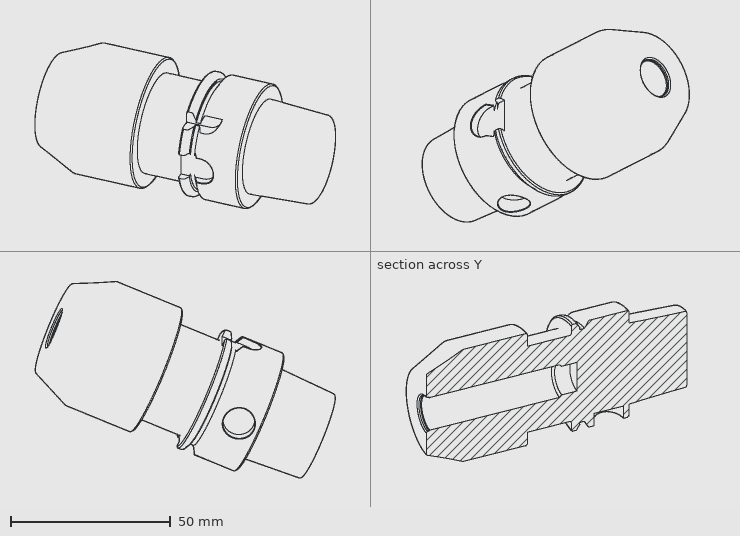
import cadquery as cq
import math


total_length = 90.0
nose_radius = 15.1
nose_fillet = 0.7
body_radius = 21.0
cone_length = 12.75
cone_fillet = 0.6
body_end = 35.0
edge_chamfer = 0.5

neck_radius = 32.3 / 2
neck_fillet = 0.5

flange_start = 50.0
flange_end = 70.0
flange_radius = 20.0
groove_front = 51.95
groove_rear = 56.1
groove_floor_front = 53.05
groove_floor_radius = 17.4
groove_flank_angle = 30.0
groove_front_fillet = 0.7
groove_rear_fillet = 0.35
groove_floor_fillet = 0.2

shank_start_radius = 15.25
shank_taper = 1 / 20
shank_fillet = 0.8

bore_radius = 6.0
relief_radius = 12.5 / 2
mouth_radius = 6.7
relief_depth = 1.0
bore_depth = 46.0
stop_radius = 10.5 / 2
stop_depth = 52.0

slot_length = 12.0
front_slot_width = 9.0
rear_slot_width = 11.0
slot_floor = 17.0
rim_chamfer = 0.2
notch_wall = 12.0
notch_end_radius = 4.5
carrier_radius = 5.0
carrier_x = 63.0
carrier_depth = 4.6


def revolve_profile(profile):
    """Turn a closed X-radius profile about the X axis."""
    return profile.close().revolve(360, (0, 0, 0), (1, 0, 0))


def round_ring(solid, x, radius, fillet):
    """Fillet the full circular edge at the given station and radius."""
    margin = 0.01
    box = cq.selectors.BoxSelector(
        (x - margin, -radius - margin, -radius - margin),
        (x + margin, radius + margin, radius + margin),
        boundingbox=True,
    )
    edges = solid.edges(box).edges(cq.selectors.RadiusNthSelector(-1))
    return edges.fillet(fillet)


def make_body():
    """Turned outer form of the holder."""
    flank_slope = 1 / math.tan(math.radians(groove_flank_angle))
    front_wall_radius = flange_radius - (groove_floor_front - groove_front) * flank_slope
    groove_floor_rear = groove_rear - (flange_radius - groove_floor_radius) / flank_slope
    shank_end_radius = shank_start_radius - (total_length - flange_end) * shank_taper
    profile = (
        cq.Workplane("XY")
        .lineTo(0, nose_radius)
        .lineTo(cone_length, body_radius)
        .lineTo(body_end - edge_chamfer, body_radius)
        .lineTo(body_end, body_radius - edge_chamfer)
        .lineTo(body_end, neck_radius)
        .lineTo(flange_start, neck_radius)
        .lineTo(flange_start, flange_radius - edge_chamfer)
        .lineTo(flange_start + edge_chamfer, flange_radius)
        .lineTo(groove_front, flange_radius)
        .lineTo(groove_floor_front, front_wall_radius)
        .lineTo(groove_floor_front, groove_floor_radius)
        .lineTo(groove_floor_rear, groove_floor_radius)
        .lineTo(groove_rear, flange_radius)
        .lineTo(flange_end - edge_chamfer, flange_radius)
        .lineTo(flange_end, flange_radius - edge_chamfer)
        .lineTo(flange_end, shank_start_radius)
        .lineTo(total_length, shank_end_radius)
        .lineTo(total_length, 0)
    )
    body = revolve_profile(profile)
    body = round_ring(body, 0, nose_radius, nose_fillet)
    body = round_ring(body, cone_length, body_radius, cone_fillet)
    body = round_ring(body, flange_start, neck_radius, neck_fillet)
    body = round_ring(body, groove_front, flange_radius, groove_front_fillet)
    body = round_ring(body, groove_rear, flange_radius, groove_rear_fillet)
    body = round_ring(body, groove_floor_front, groove_floor_radius, groove_floor_fillet)
    return round_ring(body, total_length, shank_end_radius, shank_fillet)


def make_bore():
    """Stepped blind shank bore from the nose, with 45 degree transitions."""
    mouth_depth = mouth_radius - relief_radius
    relief_step = relief_radius - bore_radius
    stop_step = bore_radius - stop_radius
    profile = (
        cq.Workplane("XY")
        .lineTo(0, mouth_radius)
        .lineTo(mouth_depth, relief_radius)
        .lineTo(relief_depth, relief_radius)
        .lineTo(relief_depth + relief_step, bore_radius)
        .lineTo(bore_depth, bore_radius)
        .lineTo(bore_depth + stop_step, stop_radius)
        .lineTo(stop_depth, stop_radius)
        .lineTo(stop_depth, 0)
    )
    return revolve_profile(profile)


def cut_slot(body, side, width):
    """Cut a round-ended drive slot on the -Y (side = -1) or +Y (side = 1) flank.

    Its rim behind the V-groove is chamfered.
    """
    half_width = width / 2
    arc_start = flange_start + slot_length - half_width
    cutter = (
        cq.Workplane("XZ", origin=(0, side * slot_floor, 0))
        .moveTo(flange_start, -half_width)
        .lineTo(arc_start, -half_width)
        .threePointArc((flange_start + slot_length, 0), (arc_start, half_width))
        .lineTo(flange_start, half_width)
        .close()
        .extrude(-side * flange_radius)
    )
    slotted = body.cut(cutter)
    rim_box = cq.selectors.BoxSelector(
        (groove_rear + rim_chamfer, side * (slot_floor + rim_chamfer), -width),
        (flange_start + slot_length + rim_chamfer, side * (flange_radius + rim_chamfer), width),
    )
    rim = slotted.edges(rim_box).edges("not |Y")
    return rim.chamfer(rim_chamfer)


def make_notch():
    """Corner notch at 45 degrees whose floor runs out along an arc."""
    reach = flange_radius
    run_out_start = flange_start + slot_length - notch_end_radius
    return (
        cq.Workplane("XZ", origin=(0, -notch_wall, 0))
        .moveTo(flange_start, notch_wall)
        .lineTo(run_out_start, notch_wall)
        .radiusArc((run_out_start + notch_end_radius, notch_wall + notch_end_radius), -notch_end_radius)
        .lineTo(run_out_start + notch_end_radius, reach)
        .lineTo(flange_start, reach)
        .close()
        .extrude(reach)
    )


def cut_carrier_hole(body):
    """Cut the blind data carrier hole on the -Z flank and chamfer its rim."""
    drill = (
        cq.Workplane("XY", origin=(carrier_x, 0, -flange_radius))
        .circle(carrier_radius)
        .extrude(carrier_depth)
    )
    drilled = body.cut(drill)
    rim_box = cq.selectors.BoxSelector(
        (carrier_x - carrier_radius, -carrier_radius, -flange_radius - rim_chamfer),
        (carrier_x + carrier_radius, carrier_radius, carrier_depth / 2 - flange_radius),
    )
    rim = drilled.edges(rim_box).edges("%BSPLINE")
    return rim.chamfer(rim_chamfer)


result = make_body().cut(make_bore())
result = cut_slot(result, -1, front_slot_width)
result = cut_slot(result, 1, rear_slot_width)
result = result.cut(make_notch())
result = cut_carrier_hole(result)